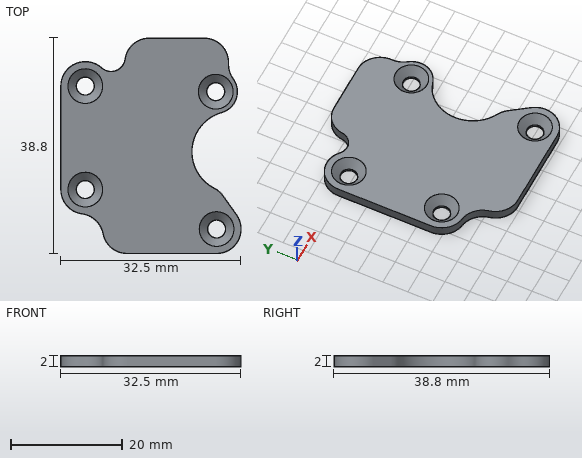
import cadquery as cq
import math

length_y = 38.8
width_x = 32.48
thickness = 2.0
corner_radius = 4.42

hole_diameter = 3.2
sink_diameter = 6.25
sink_angle = 90.0

screw_top_left = (corner_radius, 30.15)
screw_bottom_left = (corner_radius, 11.52)
screw_top_right = (27.9, 29.15)
screw_bottom_right = (width_x - corner_radius, corner_radius)
screws = [screw_top_left, screw_bottom_left, screw_top_right, screw_bottom_right]

corner_bottom = (11.95, corner_radius)
corner_top_left = (15.95, length_y - corner_radius)
corner_top_right = (25.8, length_y - corner_radius)
lobe_radius = 3.9

top_hollow_radius = 2.52
side_hollow_radius = 4.42
bottom_hollow_radius = 4.42
notch_radius = 7.35
notch_left = 23.63

flank_normal = math.radians(35.5)
shoulder_radius = corner_radius


def along(start, toward, distance):
    """Point at a distance from start, in the direction of another point."""
    scale = distance / math.dist(start, toward)
    return (start[0] + (toward[0] - start[0]) * scale, start[1] + (toward[1] - start[1]) * scale)


def hollow_center(first, first_radius, second, second_radius, radius):
    """Center of a circle touching two others, to the left of the path from first to second."""
    span = math.dist(first, second)
    reach_first = first_radius + radius
    reach_second = second_radius + radius
    base = (span**2 + reach_first**2 - reach_second**2) / (2 * span)
    height = math.sqrt(reach_first**2 - base**2)
    ux = (second[0] - first[0]) / span
    uy = (second[1] - first[1]) / span
    return (first[0] + base * ux - height * uy, first[1] + base * uy + height * ux)


def arc_to(sketch, center, radius, start, end, clockwise):
    """Add the arc about center that runs from start to end."""
    start_angle = math.atan2(start[1] - center[1], start[0] - center[0])
    end_angle = math.atan2(end[1] - center[1], end[0] - center[0])
    if clockwise:
        sweep = -((start_angle - end_angle) % math.tau)
    else:
        sweep = (end_angle - start_angle) % math.tau
    middle_angle = start_angle + sweep / 2
    middle = (center[0] + radius * math.cos(middle_angle), center[1] + radius * math.sin(middle_angle))
    return sketch.threePointArc(middle, end)


top_hollow = hollow_center(
    screw_top_left, corner_radius, corner_top_left, corner_radius, top_hollow_radius
)
side_hollow = hollow_center(
    corner_top_right, corner_radius, screw_top_right, lobe_radius, side_hollow_radius
)
bottom_hollow = hollow_center(
    corner_bottom, corner_radius, screw_bottom_left, corner_radius, bottom_hollow_radius
)

notch_x = notch_left + notch_radius
notch_drop = math.sqrt((notch_radius + lobe_radius) ** 2 - (notch_x - screw_top_right[0]) ** 2)
notch = (notch_x, screw_top_right[1] - notch_drop)

flank_direction = (-math.sin(flank_normal), math.cos(flank_normal))
to_notch = (notch[0] - screw_bottom_right[0], notch[1] - screw_bottom_right[1])
projection = to_notch[0] * flank_direction[0] + to_notch[1] * flank_direction[1]
offset_squared = to_notch[0] ** 2 + to_notch[1] ** 2 - projection**2
flank_length = projection - math.sqrt((notch_radius + shoulder_radius) ** 2 - offset_squared)
shoulder = (
    screw_bottom_right[0] + flank_length * flank_direction[0],
    screw_bottom_right[1] + flank_length * flank_direction[1],
)
flank_offset = (corner_radius * math.cos(flank_normal), corner_radius * math.sin(flank_normal))
flank_top = (shoulder[0] + flank_offset[0], shoulder[1] + flank_offset[1])
flank_bottom = (screw_bottom_right[0] + flank_offset[0], screw_bottom_right[1] + flank_offset[1])


def plate_outline():
    """Outline running clockwise from the lower end of the left edge."""
    left_bottom = (0, screw_bottom_left[1])
    left_top = (0, screw_top_left[1])
    top_start = (corner_top_left[0], length_y)
    top_end = (corner_top_right[0], length_y)
    bottom_start = (screw_bottom_right[0], 0)
    bottom_end = (corner_bottom[0], 0)

    top_hollow_start = along(screw_top_left, top_hollow, corner_radius)
    top_hollow_end = along(corner_top_left, top_hollow, corner_radius)
    side_hollow_start = along(corner_top_right, side_hollow, corner_radius)
    side_hollow_end = along(screw_top_right, side_hollow, lobe_radius)
    notch_start = along(screw_top_right, notch, lobe_radius)
    notch_end = along(shoulder, notch, shoulder_radius)
    bottom_hollow_start = along(corner_bottom, bottom_hollow, corner_radius)
    bottom_hollow_end = along(screw_bottom_left, bottom_hollow, corner_radius)

    sketch = cq.Workplane("XY").moveTo(*left_bottom).lineTo(*left_top)
    sketch = arc_to(sketch, screw_top_left, corner_radius, left_top, top_hollow_start, True)
    sketch = arc_to(sketch, top_hollow, top_hollow_radius, top_hollow_start, top_hollow_end, False)
    sketch = arc_to(sketch, corner_top_left, corner_radius, top_hollow_end, top_start, True)
    sketch = sketch.lineTo(*top_end)
    sketch = arc_to(sketch, corner_top_right, corner_radius, top_end, side_hollow_start, True)
    sketch = arc_to(sketch, side_hollow, side_hollow_radius, side_hollow_start, side_hollow_end, False)
    sketch = arc_to(sketch, screw_top_right, lobe_radius, side_hollow_end, notch_start, True)
    sketch = arc_to(sketch, notch, notch_radius, notch_start, notch_end, False)
    sketch = arc_to(sketch, shoulder, shoulder_radius, notch_end, flank_top, True)
    sketch = sketch.lineTo(*flank_bottom)
    sketch = arc_to(sketch, screw_bottom_right, corner_radius, flank_bottom, bottom_start, True)
    sketch = sketch.lineTo(*bottom_end)
    sketch = arc_to(sketch, corner_bottom, corner_radius, bottom_end, bottom_hollow_start, True)
    sketch = arc_to(
        sketch, bottom_hollow, bottom_hollow_radius, bottom_hollow_start, bottom_hollow_end, False
    )
    sketch = arc_to(sketch, screw_bottom_left, corner_radius, bottom_hollow_end, left_bottom, True)
    return sketch.close()


plate = plate_outline().extrude(thickness)
top_face = cq.Workplane("XY", origin=(0, 0, thickness))
result = plate.copyWorkplane(top_face).pushPoints(screws).cskHole(hole_diameter, sink_diameter, sink_angle)